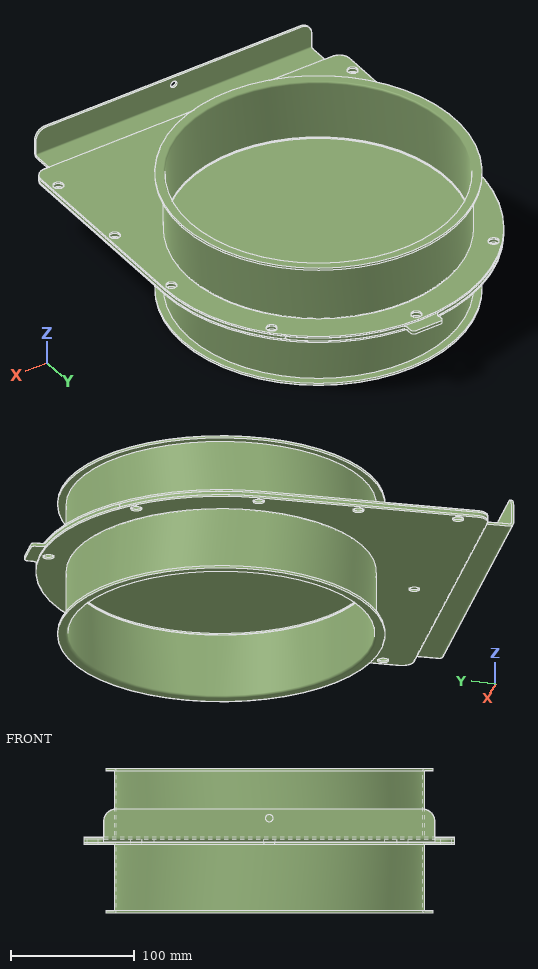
import cadquery as cq
import math

overall_length = 373.0
half_height = 58.5
plate_radius = 150.0
plate_front = -190.0
corner_radius = 10.0

plate_thickness = 1.5
spacer_thickness = 3.0
gate_thickness = 2.0
flange_thickness = 2.0

plate_bore = 249.0
tube_inner_diameter = 248.0
tube_outer_diameter = 251.0
flange_diameter = 265.0
flange_bend_radius = 2.05

bolt_diameter = 9.0
bolt_reach = 143.0
bolt_pitch = 82.5
side_bolt_rows = 3
arc_bolt_angles = (41, 90, 139)
lock_hole_diameter = 8.5
lock_hole_y = -159.5

joint_angle = 46
spacer_end_radius = 3.0

tab_width = 30.0
tab_end = 160.0
tab_corner_radius = 3.0
tab_root_radius = 3.7

gate_half_width = 134.0
gate_front = tab_end - overall_length
flap_top = 25.7
bend_radius = 3.7
flap_hole_diameter = 6.0
flap_hole_z = 18.3

plate_face = spacer_thickness / 2 + plate_thickness
tube_length = half_height - plate_face


def round_ended_profile(half_width, front):
    """Straight-sided outline with a half-round rear end about the duct axis."""
    return (
        cq.Workplane("XY")
        .moveTo(-half_width, front)
        .lineTo(half_width, front)
        .lineTo(half_width, 0)
        .threePointArc((0, half_width), (-half_width, 0))
        .close()
    )


def housing_blank(thickness):
    """Housing outline with rounded front corners, standing on Z = 0."""
    blank = round_ended_profile(plate_radius, plate_front).extrude(thickness)
    return blank.edges("|Z and <Y").fillet(corner_radius)


def on_rear_arc(radius, degrees):
    """Point at the given distance and angle around the duct axis."""
    angle = math.radians(degrees)
    return (radius * math.cos(angle), radius * math.sin(angle))


def bolt_points():
    """Centres of the bolts along both sides and around the rear arc."""
    points = []
    for row in range(side_bolt_rows):
        y = -row * bolt_pitch
        points += [(-bolt_reach, y), (bolt_reach, y)]
    points += [on_rear_arc(bolt_reach, angle) for angle in arc_bolt_angles]
    return points


def drill(body, points, diameter):
    """Cut vertical through holes at the given points."""
    cutter = (
        cq.Workplane("XY")
        .workplane(offset=-half_height)
        .pushPoints(points)
        .circle(diameter / 2)
        .extrude(2 * half_height)
    )
    return body.cut(cutter)


def ring(outer_diameter, inner_diameter, height, bottom):
    """Plain ring about the duct axis."""
    return (
        cq.Workplane("XY")
        .workplane(offset=bottom)
        .circle(outer_diameter / 2)
        .circle(inner_diameter / 2)
        .extrude(height)
    )


def make_upper_plate():
    """Cover plate with the duct bore, the bolt holes and the lock hole."""
    plate = housing_blank(plate_thickness)
    plate = drill(plate, [(0, 0)], plate_bore)
    plate = drill(plate, bolt_points(), bolt_diameter)
    plate = drill(plate, [(0, lock_hole_y)], lock_hole_diameter)
    return plate.translate((0, 0, spacer_thickness / 2))


def make_upper_duct():
    """Duct stub standing on the cover plate, its free end bent outwards into a flange."""
    duct = ring(tube_outer_diameter, tube_inner_diameter, tube_length, plate_face)
    duct = duct.union(
        ring(flange_diameter, tube_inner_diameter, flange_thickness, half_height - flange_thickness)
    )
    return duct.faces(">Z").edges(cq.selectors.RadiusNthSelector(0)).fillet(flange_bend_radius)


def round_spacer_corner(spacer, point, radius):
    """Round the vertical edge of a spacer piece nearest to a point."""
    nearest = cq.selectors.NearestToPointSelector((*point, spacer_thickness / 2))
    return spacer.edges("|Z").edges(nearest).fillet(radius)


def make_spacer_frame():
    """Undivided U-shaped frame around the gate, with the tab at the rear."""
    tab = (
        cq.Workplane("XY")
        .rect(tab_width, 2 * tab_end)
        .extrude(spacer_thickness)
        .edges("|Z and >Y")
        .fillet(tab_corner_radius)
    )
    frame = housing_blank(spacer_thickness).union(tab)
    root_y = math.sqrt(plate_radius**2 - (tab_width / 2) ** 2)
    for side in (-1, 1):
        frame = round_spacer_corner(frame, (side * tab_width / 2, root_y), tab_root_radius)
    slot = round_ended_profile(gate_half_width, plate_front).extrude(spacer_thickness)
    return drill(frame.cut(slot), bolt_points(), bolt_diameter)


def make_rear_sector():
    """Wedge behind the duct axis that takes in the rear piece of the spacer."""
    reach = 2 * plate_radius
    return (
        cq.Workplane("XY")
        .polyline([(0, 0), on_rear_arc(reach, joint_angle), on_rear_arc(reach, 180 - joint_angle)])
        .close()
        .extrude(spacer_thickness)
    )


def make_rear_spacer():
    """Rear arc of the spacer with the tab."""
    spacer = make_spacer_frame().intersect(make_rear_sector())
    for angle in (joint_angle, 180 - joint_angle):
        spacer = round_spacer_corner(spacer, on_rear_arc(plate_radius, angle), spacer_end_radius)
    return spacer.translate((0, 0, -spacer_thickness / 2))


def make_side_spacer():
    """Spacer arm along the +X side of the gate."""
    arms = make_spacer_frame().cut(make_rear_sector())
    spacer = cq.Workplane(arms.solids(">X").val())
    for corner in (on_rear_arc(plate_radius, joint_angle), (gate_half_width, plate_front)):
        spacer = round_spacer_corner(spacer, corner, spacer_end_radius)
    return spacer.translate((0, 0, -spacer_thickness / 2))


def make_gate():
    """Sliding blade that closes the duct, bent up at the front into a flap."""
    bottom = -gate_thickness / 2
    blade = round_ended_profile(gate_half_width, gate_front).extrude(gate_thickness)
    flap = (
        cq.Workplane("XY")
        .box(2 * gate_half_width, gate_thickness, flap_top - bottom, centered=(True, False, False))
        .edges("|Y and >Z")
        .fillet(corner_radius)
        .translate((0, gate_front, 0))
    )
    gate = blade.union(flap).translate((0, 0, bottom))
    gate = gate.edges("|X and <Y and <Z").fillet(bend_radius)
    inner_corner = cq.selectors.NearestToPointSelector((0, gate_front + gate_thickness, -bottom))
    gate = gate.edges("|X").edges(inner_corner).fillet(bend_radius - gate_thickness)
    hole = (
        cq.Workplane("XZ", origin=(0, gate_front + gate_thickness, flap_hole_z))
        .circle(flap_hole_diameter / 2)
        .extrude(gate_thickness)
    )
    return gate.cut(hole)


rear_spacer = make_rear_spacer()
gate = make_gate()
bodies = [rear_spacer.val(), gate.val()]

side_spacer = make_side_spacer()
bodies += [side_spacer.val(), side_spacer.mirror("YZ").val()]

for upper_body in (make_upper_plate(), make_upper_duct()):
    bodies += [upper_body.val(), upper_body.mirror("XY").val()]

result = cq.Compound.makeCompound(bodies)